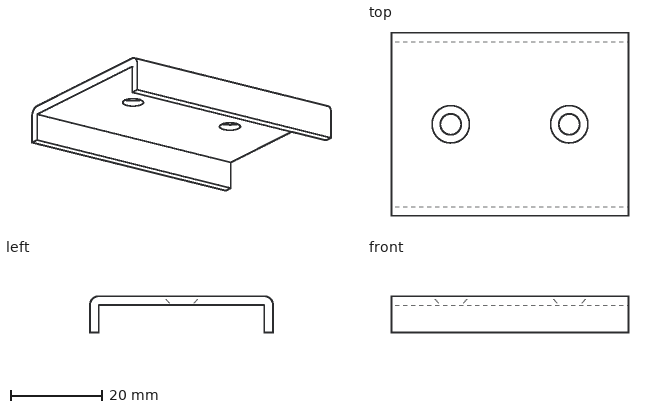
import cadquery as cq

length = 52.0
width = 40.2
height = 8.0
wall = 2.0
bend_radius = 2.0

hole_spacing = length / 2
hole_diameter = 4.5
sink_diameter = 8.2


def channel():
    """Plate with two downward flanges and rounded outer top edges."""
    body = cq.Workplane("XY").box(length, width, height, centered=(True, True, False))
    body = body.edges("|X and >Z").fillet(bend_radius)
    cavity = cq.Workplane("XY").box(
        length, width - 2 * wall, height - wall, centered=(True, True, False)
    )
    return body.cut(cavity)


def conical_hole(x):
    """Cone running through the whole plate, wide end at the top face."""
    return (
        cq.Workplane("XY", origin=(x, 0, height))
        .circle(sink_diameter / 2)
        .workplane(offset=-wall)
        .circle(hole_diameter / 2)
        .loft(ruled=True)
    )


result = channel()
for side in (-1, 1):
    result = result.cut(conical_hole(side * hole_spacing / 2))